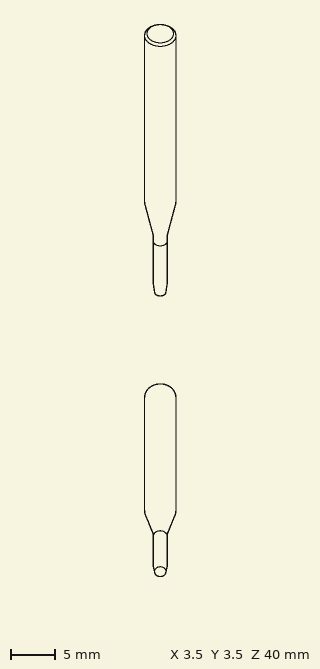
import cadquery as cq

TOTAL_LENGTH = 40.0
SHANK_DIAMETER = 3.5
NECK_DIAMETER = 1.6
TIP_DIAMETER = 1.3

TIP_TAPER_HEIGHT = 1.45
CUTTER_LENGTH = 7.9
NECK_TOP = 8.9
SHANK_BOTTOM = 13.9

END_CHAMFER = 0.3

SHANK_RADIUS = SHANK_DIAMETER / 2
NECK_RADIUS = NECK_DIAMETER / 2
TIP_RADIUS = TIP_DIAMETER / 2


def revolve_profile(points):
    """Turn a closed (radius, height) outline about the Z axis."""
    return cq.Workplane("XZ").polyline(points).close().revolve(360, (0, 0, 0), (0, 1, 0))


def make_cutter():
    """Cylindrical cutting end that tapers towards its flat tip."""
    return revolve_profile([
        (0, 0),
        (TIP_RADIUS, 0),
        (NECK_RADIUS, TIP_TAPER_HEIGHT),
        (NECK_RADIUS, CUTTER_LENGTH),
        (0, CUTTER_LENGTH),
    ])


def make_shank():
    """Short neck, cone and straight shank with a chamfered top end."""
    return revolve_profile([
        (0, CUTTER_LENGTH),
        (NECK_RADIUS, CUTTER_LENGTH),
        (NECK_RADIUS, NECK_TOP),
        (SHANK_RADIUS, SHANK_BOTTOM),
        (SHANK_RADIUS, TOTAL_LENGTH - END_CHAMFER),
        (SHANK_RADIUS - END_CHAMFER, TOTAL_LENGTH),
        (0, TOTAL_LENGTH),
    ])


cutter = make_cutter()
shank = make_shank()

result = cq.Compound.makeCompound([cutter.val(), shank.val()])